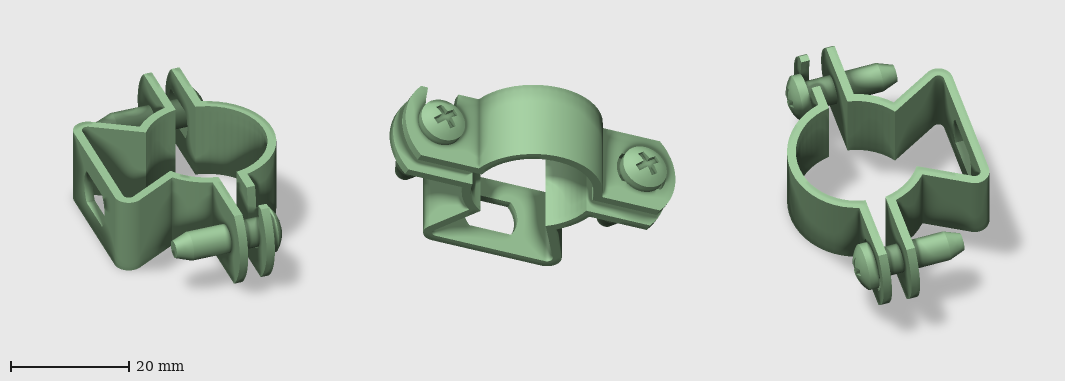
import cadquery as cq
import math


strip_thickness = 1.5
strip_height = 14.0
ear_end_radius = 10.0

upper_half_length = 24.75
upper_ear_inner_y = 1.65
upper_ear_outer_y = upper_ear_inner_y + strip_thickness
upper_outer_radius = 11.75
slot_width = 5.5

lower_half_length = 25.0
lower_ear_inner_y = -1.75
lower_ear_outer_y = lower_ear_inner_y - strip_thickness
lower_outer_radius = 12.1
base_y = -20.25
base_half_flat = 10.0
base_corner_radius = 2.5
leg_angle = math.radians(60)

base_window_diameter = 10.0
base_window_height = 6.5
ear_window_diameter = 9.0
ear_window_height = slot_width

screw_x = 18.5
shank_radius = 2.5
head_radius = 4.0
head_rim_height = 1.6
dome_height = 1.6
tip_radius = 1.5
tip_start_y = -10.0
tip_end_y = -12.75
recess_length = 4.5
recess_width = 1.25
recess_depth = 1.25
recess_turn = 55.0


def chord_x(radius, y):
    """Positive X where a circle about the origin crosses the height y."""
    return math.sqrt(radius**2 - y**2)


def polar(radius, angle):
    return (radius * math.cos(angle), radius * math.sin(angle))


def mirrored(point):
    return (-point[0], point[1])


def cut_plane(x, y):
    """Plane facing -Y; extrusions from it run from y toward -Y."""
    return cq.Workplane("XZ", origin=(x, y, 0))


def extrude_strip(profile):
    """Strip of full height, centred on Z = 0."""
    return profile.close().extrude(strip_height / 2, both=True)


def prism_along_y(sketch):
    """Prism through the whole clamp along Y from a sketch in the XZ plane."""
    return sketch.extrude(lower_half_length, both=True)


def round_ear_ends(strip, half_length):
    """Cut both ends of a strip to arcs centred on Z = 0."""
    arc_centre_x = half_length - ear_end_radius
    corner_x = arc_centre_x + chord_x(ear_end_radius, strip_height / 2)
    outline = (
        cq.Workplane("XZ")
        .moveTo(-corner_x, -strip_height / 2)
        .lineTo(corner_x, -strip_height / 2)
        .threePointArc((half_length, 0), (corner_x, strip_height / 2))
        .lineTo(-corner_x, strip_height / 2)
        .threePointArc((-half_length, 0), (-corner_x, -strip_height / 2))
        .close()
    )
    return strip.intersect(prism_along_y(outline))


def window_cutter(diameter, height, centre_x, y_min):
    """Circle flattened at top and bottom, through one strip thickness from y_min."""
    face = cut_plane(centre_x, y_min + strip_thickness)
    disc = face.circle(diameter / 2).extrude(strip_thickness)
    band = face.rect(diameter, height).extrude(strip_thickness)
    return disc.intersect(band)


def make_upper_strip():
    outer = upper_outer_radius
    inner = outer - strip_thickness
    outer_x = chord_x(outer, upper_ear_outer_y)
    inner_x = chord_x(inner, upper_ear_inner_y)
    strip = extrude_strip(
        cq.Workplane("XY")
        .moveTo(-upper_half_length, upper_ear_inner_y)
        .lineTo(-inner_x, upper_ear_inner_y)
        .threePointArc((0, inner), (inner_x, upper_ear_inner_y))
        .lineTo(upper_half_length, upper_ear_inner_y)
        .lineTo(upper_half_length, upper_ear_outer_y)
        .lineTo(outer_x, upper_ear_outer_y)
        .threePointArc((0, outer), (-outer_x, upper_ear_outer_y))
        .lineTo(-upper_half_length, upper_ear_outer_y)
    )
    strip = round_ear_ends(strip, upper_half_length)

    strip = strip.cut(window_cutter(ear_window_diameter, ear_window_height, -screw_x, upper_ear_inner_y))

    pivot = cut_plane(-screw_x, upper_ear_outer_y)
    swing_radius = 2 * screw_x
    swing_ring = (
        pivot.circle(swing_radius + slot_width / 2)
        .circle(swing_radius - slot_width / 2)
        .extrude(strip_thickness)
    )
    upper_right = (
        cut_plane(0, upper_ear_outer_y)
        .rect(swing_radius, strip_height, centered=False)
        .extrude(strip_thickness)
    )
    slot_end = cut_plane(screw_x, upper_ear_outer_y).circle(slot_width / 2).extrude(strip_thickness)
    open_slot = swing_ring.intersect(upper_right).union(slot_end)
    return strip.cut(open_slot)


def leg_meets_circle(corner_radius, circle_radius):
    """Point where a leg face, tangent to its base corner arc, meets a pipe circle."""
    normal_angle = math.pi / 2 - leg_angle
    corner_y = base_y + base_corner_radius
    distance = (
        base_half_flat * math.cos(normal_angle) + corner_y * math.sin(normal_angle) + corner_radius
    )
    return polar(circle_radius, normal_angle - math.acos(distance / circle_radius))


def lower_side_points(corner_radius, circle_radius, ear_y):
    """Right-hand points of one face of the lower strip, from the ear down to the base."""
    start = (chord_x(circle_radius, ear_y), ear_y)
    neck = leg_meets_circle(corner_radius, circle_radius)
    middle_angle = (math.atan2(start[1], start[0]) + math.atan2(neck[1], neck[0])) / 2
    corner_centre = (base_half_flat, base_y + base_corner_radius)

    def on_corner(angle):
        x, y = polar(corner_radius, angle)
        return (corner_centre[0] + x, corner_centre[1] + y)

    leg_end_angle = math.pi / 2 - leg_angle
    return {
        "start": start,
        "arc_middle": polar(circle_radius, middle_angle),
        "neck": neck,
        "leg_end": on_corner(leg_end_angle),
        "corner_middle": on_corner((leg_end_angle - math.pi / 2) / 2),
        "base": on_corner(-math.pi / 2),
    }


def trace_face(profile, side):
    """Extend an outline that stands at the right start point along one face of the lower strip,
    round the base to the left ear.
    """
    left = {name: mirrored(point) for name, point in side.items()}
    return (
        profile.threePointArc(side["arc_middle"], side["neck"])
        .lineTo(*side["leg_end"])
        .threePointArc(side["corner_middle"], side["base"])
        .lineTo(*left["base"])
        .threePointArc(left["corner_middle"], left["leg_end"])
        .lineTo(*left["neck"])
        .threePointArc(left["arc_middle"], left["start"])
    )


def make_lower_strip():
    outer_side = lower_side_points(base_corner_radius, lower_outer_radius, lower_ear_outer_y)
    inner_side = lower_side_points(
        base_corner_radius - strip_thickness, lower_outer_radius - strip_thickness, lower_ear_inner_y
    )
    outer_face = (
        cq.Workplane("XY")
        .moveTo(lower_half_length, lower_ear_outer_y)
        .lineTo(*outer_side["start"])
    )
    outer_body = extrude_strip(
        trace_face(outer_face, outer_side)
        .lineTo(-lower_half_length, lower_ear_outer_y)
        .lineTo(-lower_half_length, lower_ear_inner_y)
        .lineTo(lower_half_length, lower_ear_inner_y)
    )
    inner_face = cq.Workplane("XY").moveTo(*inner_side["start"])
    strip = outer_body.cut(extrude_strip(trace_face(inner_face, inner_side)))
    strip = round_ear_ends(strip, lower_half_length)

    holes = prism_along_y(
        cq.Workplane("XZ").pushPoints([(-screw_x, 0), (screw_x, 0)]).circle(shank_radius)
    )
    window = window_cutter(base_window_diameter, base_window_height, 0, base_y)
    return strip.cut(holes).cut(window)


def make_screw(centre_x):
    rim_y = upper_ear_outer_y + head_rim_height
    crown_y = rim_y + dome_height
    dome_radius = (head_radius**2 + dome_height**2) / (2 * dome_height)
    dome_centre_y = crown_y - dome_radius
    half_angle = math.asin(head_radius / dome_radius) / 2
    middle_x, middle_rise = polar(dome_radius, math.pi / 2 - half_angle)
    dome_middle = (middle_x, dome_centre_y + middle_rise)
    screw = (
        cq.Workplane("XY")
        .moveTo(0, tip_end_y)
        .lineTo(tip_radius, tip_end_y)
        .lineTo(shank_radius, tip_start_y)
        .lineTo(shank_radius, upper_ear_outer_y)
        .lineTo(head_radius, upper_ear_outer_y)
        .lineTo(head_radius, rim_y)
        .threePointArc(dome_middle, (0, crown_y))
        .close()
        .revolve(360, (0, 0, 0), (0, 1, 0))
    )
    for arm_angle in (recess_turn, recess_turn + 90):
        arm = (
            cut_plane(0, crown_y)
            .transformed(rotate=(0, 0, arm_angle))
            .rect(recess_length, recess_width)
            .extrude(recess_depth)
        )
        screw = screw.cut(arm)
    return screw.translate((centre_x, 0, 0))


upper_strip = make_upper_strip()
lower_strip = make_lower_strip()
screws = [make_screw(x) for x in (-screw_x, screw_x)]

result = cq.Compound.makeCompound(
    [upper_strip.val(), lower_strip.val(), *[screw.val() for screw in screws]]
)